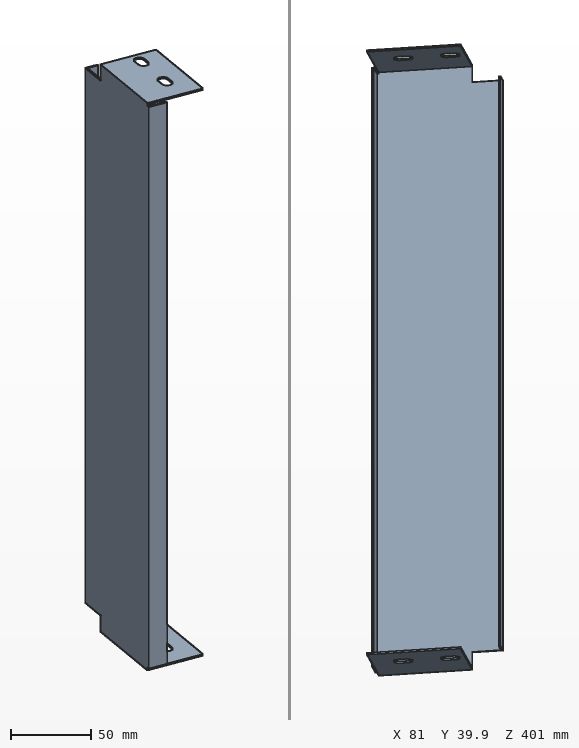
import cadquery as cq

WIDTH = 81.0
DEPTH = 39.92
HEIGHT = 401.0
SHEET = 1.2

CORNER_CUT_WIDTH = 19.5
CORNER_CUT_HEIGHT = 11.5
LEFT_LIP_DEPTH = 8.8

RELIEF = 2.0
RIGHT_LIP_DEPTH = 13.0

SLOT_LENGTH = 12.0
SLOT_WIDTH = 7.0
SLOT_SPACING = 30.0
FIRST_SLOT_X = 29.0
SLOT_Y = 24.0

FLANGE_END_X = WIDTH - RELIEF
FLANGE_WIDTH = FLANGE_END_X - CORNER_CUT_WIDTH
LEFT_LIP_HEIGHT = HEIGHT - 2 * CORNER_CUT_HEIGHT
RIGHT_LIP_HEIGHT = HEIGHT - 2 * RELIEF


def block(x, z, width, depth, height):
    """Box with its front face on Y = 0 and its lower left corner at (x, z)."""
    return cq.Workplane("XY").box(width, depth, height, centered=False).translate((x, 0, z))


def front_panel():
    """Flat panel made of a full-height middle and a shorter strip on each side."""
    middle = block(CORNER_CUT_WIDTH, 0, FLANGE_WIDTH, SHEET, HEIGHT)
    left_strip = block(0, CORNER_CUT_HEIGHT, CORNER_CUT_WIDTH, SHEET, LEFT_LIP_HEIGHT)
    right_strip = block(FLANGE_END_X, RELIEF, RELIEF, SHEET, RIGHT_LIP_HEIGHT)
    return middle.union(left_strip).union(right_strip)


def side_lips():
    """Lips folded back along the left and right edges of the panel."""
    left = block(0, CORNER_CUT_HEIGHT, SHEET, LEFT_LIP_DEPTH, LEFT_LIP_HEIGHT)
    right = block(WIDTH - SHEET, RELIEF, SHEET, RIGHT_LIP_DEPTH, RIGHT_LIP_HEIGHT)
    return left, right


def end_flange(z):
    """Slotted flange reaching back from the panel, with its underside at height z."""
    slots = (
        cq.Workplane("XY", origin=(0, 0, z))
        .pushPoints([(FIRST_SLOT_X, SLOT_Y), (FIRST_SLOT_X + SLOT_SPACING, SLOT_Y)])
        .slot2D(SLOT_LENGTH, SLOT_WIDTH)
        .extrude(SHEET)
    )
    return block(CORNER_CUT_WIDTH, z, FLANGE_WIDTH, DEPTH, SHEET).cut(slots)


result = front_panel()
for lip in side_lips():
    result = result.union(lip)
for flange_z in (0, HEIGHT - SHEET):
    result = result.union(end_flange(flange_z))